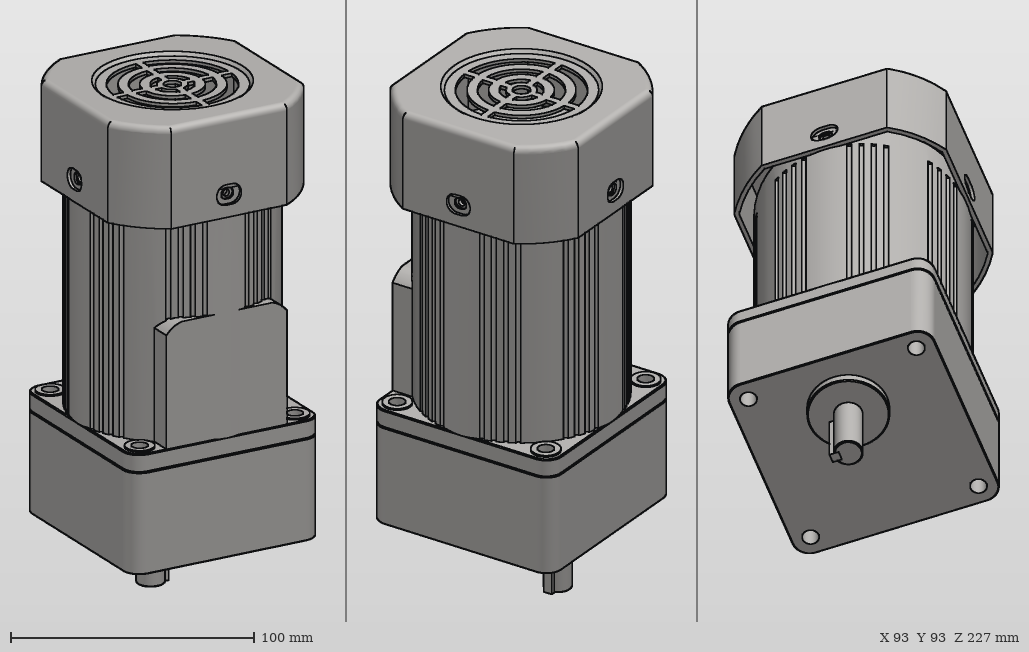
import cadquery as cq
import math


gearbox_height = 45.0
flange_height = 8.1
motor_top = 195.0
cover_height = 44.5
shaft_length = 32.0

flange_top = gearbox_height + flange_height
cover_bottom = motor_top - cover_height

frame_width = 90.0
frame_corner_radius = 7.5
frame_edge_chamfer = 0.4
flange_top_chamfer = 0.5
bolt_circle_diameter = 104.0
bolt_hole_diameter = 7.0
bolt_pad_diameter = 12.5
bolt_pad_height = 0.7
bolt_spacing = bolt_circle_diameter / math.sqrt(2)

stator_radius = frame_width / 2
stator_below_top = 32.5
stator_top = motor_top - stator_below_top
groove_radius = 1.0
groove_group_count = 8
grooves_per_group = 4
groove_pitch_angle = 6.5

box_face_x = 44.6
box_width = 57.3
box_height = 54.8
box_crown_width = 43.0
box_corner_drop = 4.7
box_corner_bulge = 0.7

cover_width = 93.0
cover_corner_radius = 54.0
cover_wall = 2.0
cover_top_thickness = 3.0
cover_edge_radius = 3.0

grille_recess_radius = 33.2
grille_recess_depth = 1.5
grille_recess_taper = 45
grille_hub_hole_radius = 3.7
grille_slot_rings = [(6.4, 9.2), (13.5, 18.1), (22.4, 27.2)]
grille_bar_width = 3.4

screw_below_top = 34.6
seat_length = 11.7
seat_width = 9.0
seat_depth = 1.5
screw_slot_length = 5.8
screw_slot_width = 4.8
screw_slot_depth = 2.5
screw_hole_diameter = 3.0
screw_hole_depth = 4.5

shaft_offset = -18.0
shaft_radius = 6.0
shaft_chamfer = 0.5
boss_radius = 17.0
boss_height = 4.0
boss_chamfer = 0.5

key_width = 4.0
key_height = 4.0
key_length = 25.0
key_seat_depth = 2.5


def frame_block(bottom, height):
    """Square block with rounded vertical edges."""
    block = cq.Workplane("XY", origin=(0, 0, bottom)).rect(frame_width, frame_width).extrude(height)
    return block.edges("|Z").fillet(frame_corner_radius)


def bolt_cylinders(diameter, bottom, height):
    """Four cylinders on the bolt circle."""
    plane = cq.Workplane("XY", origin=(0, 0, bottom))
    centers = plane.rect(bolt_spacing, bolt_spacing, forConstruction=True).vertices()
    return centers.circle(diameter / 2).extrude(height)


def disc(radius, bottom, height):
    """Cylinder on the motor axis."""
    return cq.Workplane("XY", origin=(0, 0, bottom)).circle(radius).extrude(height)


def cover_prism(inset, bottom, height):
    """Square prism whose corners are cut by a concentric cylinder."""
    side = cover_width - 2 * inset
    square = cq.Workplane("XY", origin=(0, 0, bottom)).rect(side, side).extrude(height)
    return square.intersect(disc(cover_corner_radius - inset, bottom, height))


def make_stator():
    """Round motor body with groups of vertical half-round grooves."""
    height = stator_top - gearbox_height
    group_step = 360 / groove_group_count
    angles = [
        group_step * (group + 0.5) + groove_pitch_angle * (index - (grooves_per_group - 1) / 2)
        for group in range(groove_group_count)
        for index in range(grooves_per_group)
    ]
    centers = [
        (stator_radius * math.cos(math.radians(angle)), stator_radius * math.sin(math.radians(angle)))
        for angle in angles
    ]
    groove_height = cover_bottom - flange_top
    grooves = cq.Workplane("XY", origin=(0, 0, flange_top)).pushPoints(centers).circle(groove_radius)
    return disc(stator_radius, gearbox_height, height).cut(grooves.extrude(groove_height))


def make_flange():
    """Square motor flange with chamfered edges."""
    flange = frame_block(gearbox_height, flange_height)
    flange = flange.faces("<Z").chamfer(frame_edge_chamfer)
    return flange.faces(">Z").chamfer(flange_top_chamfer)


def make_terminal_box():
    """Box on the +X side whose two upper corners are sloped and slightly bulged."""
    side = box_width / 2
    crown = box_crown_width / 2
    bottom = gearbox_height + frame_edge_chamfer
    top = flange_top + box_height
    shoulder = top - box_corner_drop
    profile = (
        cq.Workplane("YZ")
        .moveTo(-side, bottom)
        .lineTo(side, bottom)
        .lineTo(side, shoulder)
        .sagittaArc((crown, top), -box_corner_bulge)
        .lineTo(-crown, top)
        .sagittaArc((-side, shoulder), -box_corner_bulge)
        .close()
    )
    return profile.extrude(box_face_x)


def make_grille_openings():
    """Conical recess, hub hole and rings of slots parted by a cross of bars."""
    recess = cq.Workplane("XY", origin=(0, 0, motor_top)).circle(grille_recess_radius)
    openings = recess.extrude(-grille_recess_depth, taper=grille_recess_taper)
    slot_bottom = motor_top - cover_top_thickness
    bars = cq.Workplane("XY", origin=(0, 0, slot_bottom)).rect(cover_width, grille_bar_width)
    bars = bars.extrude(cover_top_thickness)
    bars = bars.union(bars.rotate((0, 0, 0), (0, 0, 1), 90))
    for inner_radius, outer_radius in grille_slot_rings:
        ring = cq.Workplane("XY", origin=(0, 0, slot_bottom)).circle(outer_radius).circle(inner_radius)
        openings = openings.union(ring.extrude(cover_top_thickness).cut(bars))
    return openings.union(disc(grille_hub_hole_radius, slot_bottom, cover_top_thickness))


def make_cover():
    """Hollow fan cover with a rounded top edge and an open bottom."""
    cover = cover_prism(0, cover_bottom, cover_height).faces(">Z").edges().fillet(cover_edge_radius)
    cavity = cover_prism(cover_wall, cover_bottom, cover_height - cover_top_thickness)
    return cover.cut(cavity).cut(make_grille_openings())


def make_screw_seat():
    """Stepped cut for a cover screw on the -Y side."""
    plane = cq.Workplane("XZ", origin=(0, -cover_width / 2, motor_top - screw_below_top))
    seat = plane.slot2D(seat_length, seat_width).extrude(-seat_depth)
    slot = plane.slot2D(screw_slot_length, screw_slot_width).extrude(-screw_slot_depth)
    hole = plane.circle(screw_hole_diameter / 2).extrude(-screw_hole_depth)
    return seat.union(slot).union(hole)


def make_motor():
    """Flange with bolt pads, stator, terminal box and fan cover as one solid."""
    motor = make_flange().union(make_stator()).union(make_terminal_box()).union(make_cover())
    motor = motor.union(bolt_cylinders(bolt_pad_diameter, flange_top, bolt_pad_height))
    bolt_hole_depth = flange_height + bolt_pad_height
    motor = motor.cut(bolt_cylinders(bolt_hole_diameter, gearbox_height, bolt_hole_depth))
    seat = make_screw_seat()
    for side in range(4):
        motor = motor.cut(seat.rotate((0, 0, 0), (0, 0, 1), 90 * side))
    return motor


def make_key():
    """Parallel key in the +Y side of the shaft, with a round inner end."""
    radius = key_width / 2
    bottom = -shaft_length
    shoulder = bottom + key_length - radius
    base_y = shaft_radius - key_seat_depth
    profile = (
        cq.Workplane("XZ", origin=(shaft_offset, base_y, 0))
        .moveTo(-radius, bottom)
        .lineTo(radius, bottom)
        .lineTo(radius, shoulder)
        .threePointArc((0, shoulder + radius), (-radius, shoulder))
        .close()
    )
    return profile.extrude(-key_height)


def make_gearbox(key):
    """Gearbox case with its offset boss and output shaft, recessed for the key."""
    case = frame_block(0, gearbox_height)
    case = case.faces("<Z or >Z").chamfer(frame_edge_chamfer)
    case = case.cut(bolt_cylinders(bolt_hole_diameter, 0, gearbox_height))
    axis = cq.Workplane("XY", origin=(shaft_offset, 0, 0))
    boss = axis.circle(boss_radius).extrude(-boss_height).faces("<Z").chamfer(boss_chamfer)
    shaft = axis.circle(shaft_radius).extrude(-shaft_length).faces("<Z").chamfer(shaft_chamfer)
    return case.union(boss).union(shaft).cut(key)


motor = make_motor()
key = make_key()
gearbox = make_gearbox(key)

result = cq.Compound.makeCompound([motor.val(), gearbox.val(), key.val()])